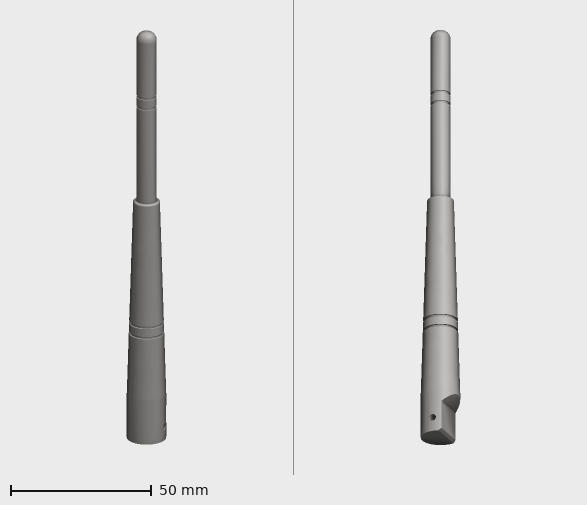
import cadquery as cq

length = 156.0
base_diameter = 14.0

grip_bottom = 17.0
grip_top = 91.1
grip_top_diameter = 9.5
grip_top_rounding = 0.6

whip_diameter = 7.2
tip_rounding = 3.1

groove_width = 1.0
band_width = 3.0
grip_groove_diameter = 11.0
grip_band_middle = 42.6
whip_groove_diameter = 6.2
whip_band_middle = 129.5

flat_offset = 3.1
flat_top = 11.2
flat_chamfer = 1.0

hole_diameter = 2.5
hole_height = 5.1


def base_and_grip():
    """Straight base and tapered grip turned about Z, with a rounded rim at the top."""
    base_radius = base_diameter / 2
    body = (
        cq.Workplane("XZ")
        .polyline([
            (0, 0),
            (base_radius, 0),
            (base_radius, grip_bottom),
            (grip_top_diameter / 2, grip_top),
            (0, grip_top),
        ])
        .close()
        .revolve(360, (0, 0, 0), (0, 1, 0))
    )
    return body.faces(">Z").edges().fillet(grip_top_rounding)


def whip():
    """Slim rod from the top of the grip to the rounded tip."""
    rod = (
        cq.Workplane("XY")
        .workplane(offset=grip_top)
        .circle(whip_diameter / 2)
        .extrude(length - grip_top)
    )
    return rod.faces(">Z").edges().fillet(tip_rounding)


def groove_ring(floor_diameter, bottom):
    """Ring of material to remove for one groove."""
    return (
        cq.Workplane("XY")
        .workplane(offset=bottom)
        .circle(base_diameter)
        .circle(floor_diameter / 2)
        .extrude(groove_width)
    )


def flat_cutter():
    """Material outside the flat: a 45 degree shoulder above and a chamfer at the bottom edge."""
    reach = base_diameter
    return (
        cq.Workplane("YZ")
        .polyline([
            (flat_offset - flat_chamfer, 0),
            (flat_offset, flat_chamfer),
            (flat_offset, flat_top),
            (reach, flat_top + reach - flat_offset),
            (reach, 0),
        ])
        .close()
        .extrude(base_diameter, both=True)
    )


def cross_hole():
    """Hole passing right through the base along X."""
    return (
        cq.Workplane("YZ")
        .center(0, hole_height)
        .circle(hole_diameter / 2)
        .extrude(base_diameter, both=True)
    )


result = base_and_grip().union(whip())

for floor_diameter, band_middle in (
    (grip_groove_diameter, grip_band_middle),
    (whip_groove_diameter, whip_band_middle),
):
    lower_bottom = band_middle - band_width / 2 - groove_width
    upper_bottom = band_middle + band_width / 2
    for bottom in (lower_bottom, upper_bottom):
        result = result.cut(groove_ring(floor_diameter, bottom))

result = result.cut(flat_cutter()).cut(cross_hole())